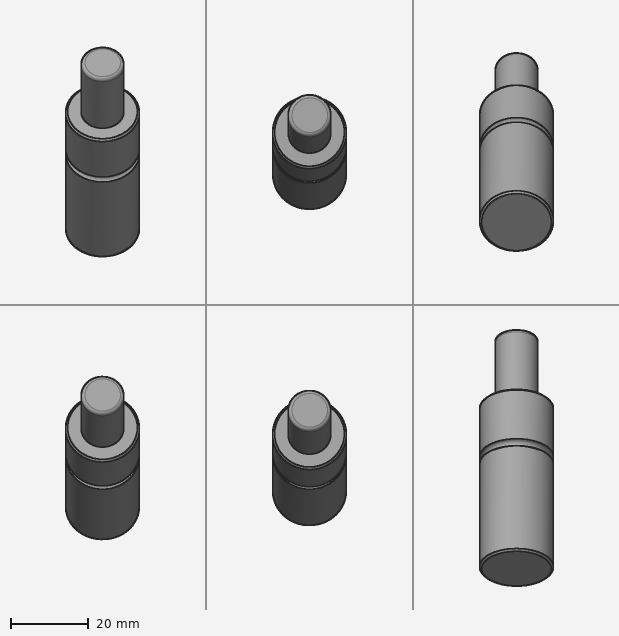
import cadquery as cq

total_length = 68.0
body_diameter = 19.0
pin_diameter = 11.0
pin_length = 20.0
pin_tip_fillet = 0.95
body_chamfer = 0.55
groove_radius = 1.0
groove_center_height = 32.0

body_length = total_length - pin_length
body_radius = body_diameter / 2
bottom_z = -total_length / 2


def make_body():
    """Cylindrical body with both end edges chamfered."""
    body = cq.Workplane("XY").workplane(offset=bottom_z).circle(body_radius).extrude(body_length)
    return body.faces("<Z or >Z").edges().chamfer(body_chamfer)


def make_pin():
    """Slim pin on top of the body with a rounded tip."""
    pin = cq.Workplane("XY").workplane(offset=bottom_z + body_length)
    pin = pin.circle(pin_diameter / 2).extrude(pin_length)
    return pin.faces(">Z").edges().fillet(pin_tip_fillet)


def make_groove_cutter():
    """Ring of round section that cuts a half-round groove into the body."""
    section = cq.Workplane("XZ").center(body_radius, bottom_z + groove_center_height)
    section = section.circle(groove_radius)
    axis_start = (-body_radius, 0)
    axis_end = (-body_radius, 1)
    return section.revolve(360, axis_start, axis_end)


result = make_body().union(make_pin()).cut(make_groove_cutter())